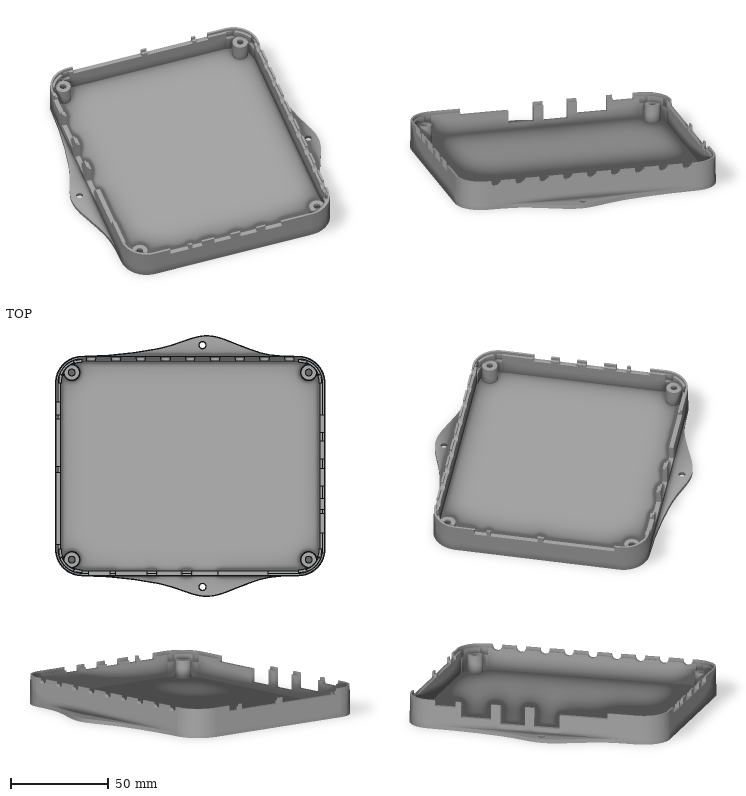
import cadquery as cq
import math

LENGTH = 138.22
WIDTH = 112.55
HEIGHT = 15.08
CORNER_RADIUS = 13.7
FLOOR = 2.0
DRAFT_ANGLE = 1.2

RIM_STEP = 1.5
LEDGE_Z = HEIGHT - RIM_STEP
WALL = 2.5
STEP_INSET = WALL / 2

FOOT_WALL = 3.0
FOOT_TOP_Z = 9.7
POCKET_WALL = STEP_INSET
POST_BACKING_WIDTH = 9.2
BACKING_TURN = 45.0
CATCH_BOTTOM_Z = 11.4
CATCH_TOP_Z = 13.4
CATCH_LENGTH = 2.9
CATCH_HEIGHT = 0.4

POST_BASE_DIAMETER = 8.3
POST_TOP_Z = 11.0
POST_X = 60.75
POST_Y = 48.0
SCREW_HOLE = 3.5

EAR_TIP_X = 8.0
EAR_TIP_SPAN = 133.76
EAR_TIP_Y = EAR_TIP_SPAN / 2
EAR_LEFT_FLANK = [(-28, 58.3), (-8, 62.5)]
EAR_RIGHT_FLANK = [(24, 62.5), (32, 59.4)]
EAR_HOLE_X = 6.3
EAR_HOLE_Y = 62.0
EAR_HOLE = 3.5

SHALLOW_Z = HEIGHT - 3.0
MEDIUM_Z = HEIGHT - 8.0
DEEP_Z = 5.0
FRONT_OPENINGS = [
    (-52.25, -41.25, SHALLOW_Z),
    (-38.25, -22.25, MEDIUM_Z),
    (-17.25, -4.25, DEEP_Z),
    (0.75, 14.25, DEEP_Z),
    (14.25, 39.75, SHALLOW_Z),
]
LEFT_OPENINGS = [(-40.25, -3.25), (-0.25, 24.25), (26.25, 32.75)]
RIGHT_OPENINGS = [
    (-34.25, -24.25),
    (-22.25, -16.75),
    (-10.25, -1.25),
    (3.75, 12.75),
    (17.25, 26.25),
]
SCALLOP_COUNT = 9
SCALLOP_PITCH = 12.7
SCALLOP_RADIUS = 2.5
CUT_DEPTH = 5.0

CORNER_SIGNS = [(-1, -1), (-1, 1), (1, -1), (1, 1)]
DRAFT_SHRINK = (LEDGE_Z - FLOOR) * math.tan(math.radians(DRAFT_ANGLE))


def rounded_block(inset, bottom, top, draft=0):
    """Block with the tray's rounded outline, moved inward by inset."""
    outline = cq.Sketch().rect(LENGTH - 2 * inset, WIDTH - 2 * inset)
    outline = outline.vertices().fillet(CORNER_RADIUS - inset)
    return cq.Workplane("XY", origin=(0, 0, bottom)).placeSketch(outline).extrude(top - bottom, taper=draft)


def box_between(x0, x1, y0, y1, z0, z1):
    """Block spanning the given X, Y and Z limits."""
    return cq.Workplane("XY").box(x1 - x0, y1 - y0, z1 - z0, centered=False).translate((x0, y0, z0))


def tray():
    """Floor plate, drafted walls, upright rim and stepped cavity."""
    body = rounded_block(0, 0, FLOOR)
    body = body.union(rounded_block(0, FLOOR, LEDGE_Z, DRAFT_ANGLE))
    body = body.union(rounded_block(DRAFT_SHRINK, LEDGE_Z, HEIGHT))
    body = body.cut(rounded_block(WALL, FLOOR, HEIGHT))
    return body.cut(rounded_block(STEP_INSET, LEDGE_Z, HEIGHT))


def corner_zones(bottom, top):
    """Four square blocks covering the rounded corners."""
    zone = cq.Workplane("XY", origin=(0, 0, bottom))
    for sx, sy in CORNER_SIGNS:
        centre = (sx * (LENGTH - CORNER_RADIUS) / 2, sy * (WIDTH - CORNER_RADIUS) / 2)
        zone = zone.moveTo(*centre).rect(CORNER_RADIUS, CORNER_RADIUS)
    return zone.extrude(top - bottom)


def corner_feet():
    """Extra wall thickness around the lower part of each corner."""
    ring = rounded_block(WALL / 2, FLOOR, FOOT_TOP_Z).cut(rounded_block(FOOT_WALL, FLOOR, FOOT_TOP_Z))
    return ring.intersect(corner_zones(FLOOR, FOOT_TOP_Z))


def corner_pockets():
    """Thinned wall above each foot, interrupted by the backing behind the post."""
    pockets = rounded_block(POCKET_WALL, FOOT_TOP_Z, LEDGE_Z).intersect(corner_zones(FOOT_TOP_Z, LEDGE_Z))
    backing = cq.Workplane("XY", origin=(0, 0, FOOT_TOP_Z)).rect(CORNER_RADIUS * 2, POST_BACKING_WIDTH)
    backing = backing.extrude(LEDGE_Z - FOOT_TOP_Z)
    for sx, sy in CORNER_SIGNS:
        arc_centre = (sx * (LENGTH / 2 - CORNER_RADIUS), sy * (WIDTH / 2 - CORNER_RADIUS), 0)
        turned = backing.rotate((0, 0, 0), (0, 0, 1), sx * sy * BACKING_TURN)
        pockets = pockets.cut(turned.translate(arc_centre))
    return pockets


def corner_catches():
    """Low catch rib on each pocket wall, next to the straight wall."""
    ribs = rounded_block(POCKET_WALL / 2, CATCH_BOTTOM_Z, CATCH_TOP_Z)
    ribs = ribs.cut(rounded_block(POCKET_WALL + CATCH_HEIGHT, CATCH_BOTTOM_Z, CATCH_TOP_Z))
    straight_x = LENGTH / 2 - CORNER_RADIUS
    straight_y = WIDTH / 2 - CORNER_RADIUS
    zones = cq.Workplane("XY")
    for sx, sy in CORNER_SIGNS:
        along_x = (sx * (straight_x + CATCH_LENGTH / 2), sy * WIDTH / 2)
        along_y = (sx * LENGTH / 2, sy * (straight_y + CATCH_LENGTH / 2))
        zones = zones.moveTo(*along_x).rect(CATCH_LENGTH, CORNER_RADIUS)
        zones = zones.moveTo(*along_y).rect(CORNER_RADIUS, CATCH_LENGTH)
    return ribs.intersect(zones.extrude(HEIGHT))


def ears():
    """Floor-thick plate swelling into a bell-shaped ear at the back, mirrored to the front."""
    start = (-LENGTH / 2 + CORNER_RADIUS, WIDTH / 2)
    end = (LENGTH / 2 - CORNER_RADIUS, WIDTH / 2)
    crest = EAR_LEFT_FLANK + [(EAR_TIP_X, EAR_TIP_Y)] + EAR_RIGHT_FLANK
    ear = (
        cq.Workplane("XY")
        .moveTo(start[0], 0)
        .lineTo(*start)
        .spline(crest + [end], tangents=[(1, 0), (1, 0)], includeCurrent=True)
        .lineTo(end[0], 0)
        .close()
        .extrude(FLOOR)
    )
    both = ear.union(ear.mirror("XZ"))
    holes = cq.Workplane("XY").pushPoints([(EAR_HOLE_X, EAR_HOLE_Y), (EAR_HOLE_X, -EAR_HOLE_Y)])
    return both.cut(holes.circle(EAR_HOLE / 2).extrude(FLOOR))


def posts():
    """Drafted hollow screw posts standing on the floor."""
    corners = [(sx * POST_X, sy * POST_Y) for sx, sy in CORNER_SIGNS]
    plane = cq.Workplane("XY", origin=(0, 0, FLOOR)).pushPoints(corners)
    columns = plane.circle(POST_BASE_DIAMETER / 2).extrude(POST_TOP_Z - FLOOR, taper=DRAFT_ANGLE)
    return columns.cut(plane.circle(SCREW_HOLE / 2).extrude(POST_TOP_Z - FLOOR))


def rim_openings():
    """Rectangular openings in the front and side walls."""
    half_length = LENGTH / 2
    half_width = WIDTH / 2
    cuts = cq.Workplane("XY")
    for x0, x1, sill in FRONT_OPENINGS:
        cuts = cuts.union(box_between(x0, x1, -half_width, -half_width + CUT_DEPTH, sill, HEIGHT))
    for y0, y1 in LEFT_OPENINGS:
        cuts = cuts.union(box_between(-half_length, -half_length + CUT_DEPTH, y0, y1, SHALLOW_Z, HEIGHT))
    for y0, y1 in RIGHT_OPENINGS:
        cuts = cuts.union(box_between(half_length - CUT_DEPTH, half_length, y0, y1, SHALLOW_Z, HEIGHT))
    return cuts


def scallops():
    """Row of U-shaped cable notches in the back wall."""
    centre_z = SHALLOW_Z + SCALLOP_RADIUS
    notch = (
        cq.Workplane("XZ", origin=(0, WIDTH / 2, 0))
        .moveTo(-SCALLOP_RADIUS, HEIGHT)
        .lineTo(-SCALLOP_RADIUS, centre_z)
        .threePointArc((0, SHALLOW_Z), (SCALLOP_RADIUS, centre_z))
        .lineTo(SCALLOP_RADIUS, HEIGHT)
        .close()
        .extrude(CUT_DEPTH)
    )
    cuts = cq.Workplane("XY")
    for i in range(SCALLOP_COUNT):
        cuts = cuts.union(notch.translate(((i - (SCALLOP_COUNT - 1) / 2) * SCALLOP_PITCH, 0, 0)))
    return cuts


body = tray().cut(corner_pockets()).union(corner_catches())
body = body.union(corner_feet()).union(ears()).union(posts())
result = body.cut(rim_openings()).cut(scallops())